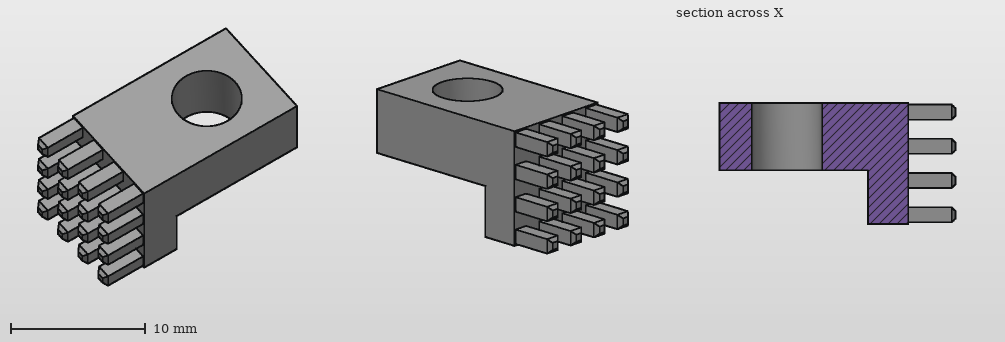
import cadquery as cq

total_length = 17.5
body_width = 9.0
body_height = 9.0
pin_length = 3.5
body_length = total_length - pin_length

arm_height = 5.0
foot_length = 3.0

hole_diameter = 5.2
hole_to_back = 5.0

pins_per_side = 4
pin_pitch = 2.54
pin_width = 1.14
tip_width = 0.56
tip_length = 0.3

top = body_height / 2
bottom = -body_height / 2


def make_body():
    """Extrude the L profile across the width and bore the hole through the arm."""
    profile = [
        (0, bottom),
        (0, top),
        (body_length, top),
        (body_length, top - arm_height),
        (foot_length, top - arm_height),
        (foot_length, bottom),
    ]
    block = cq.Workplane("YZ").polyline(profile).close().extrude(body_width / 2, both=True)
    hole = (
        cq.Workplane("XY", origin=(0, body_length - hole_to_back, bottom))
        .circle(hole_diameter / 2)
        .extrude(body_height)
    )
    return block.cut(hole)


def make_pin(x, z):
    """Straight square shank along -Y, ending in a truncated pyramid."""
    shank_length = pin_length - tip_length
    shank = cq.Workplane("XZ", origin=(x, 0, z)).rect(pin_width, pin_width).extrude(shank_length)
    return (
        shank.faces("<Y")
        .workplane()
        .rect(pin_width, pin_width)
        .workplane(offset=tip_length)
        .rect(tip_width, tip_width)
        .loft(ruled=True)
    )


first_pin = -pin_pitch * (pins_per_side - 1) / 2
pin_positions = [first_pin + i * pin_pitch for i in range(pins_per_side)]

result = make_body()
for pin_x in pin_positions:
    for pin_z in pin_positions:
        result = result.union(make_pin(pin_x, pin_z))